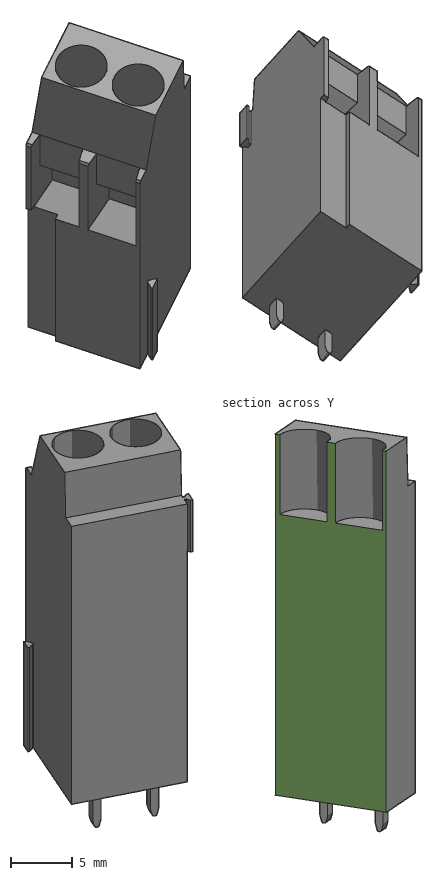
import cadquery as cq

WIDTH = 10.05
DEPTH = 10.95
PIN_LENGTH = 3.2
HEIGHT = 34.3 - PIN_LENGTH

FOOT_DROP = 5.0
FOOT_Y = 1.35
SLOPE_TOP_Y = 3.4
FRONT_BEVEL = 0.17
SHELF_DROP = 4.25
SHELF_DEPTH = 1.37
REAR_LEAN = 0.25
FOOT_Z = HEIGHT - FOOT_DROP
SHELF_Z = HEIGHT - SHELF_DROP

PITCH = 5.0
FIRST_POLE_X = 2.57
POLE_XS = [FIRST_POLE_X + i * PITCH for i in range(2)]

WELL_DIAMETER = 4.22
WELL_Y = 5.65
WELL_DEPTH = 6.85

POCKET_WIDTH = 4.22
POCKET_FLOOR_Z = 17.05
POCKET_DEPTH = 3.22
POCKET_INSET = 0.55
LIP_Z = 21.85
FLOOR_RISE = 0.48
LIP_FALL = 0.38
TAPER = POCKET_INSET / POCKET_DEPTH

STEP_WIDTH = 2.6
STEP_DEPTH = 0.45
STEP_HEIGHT = 17.15

RAIL_REACH = 0.62
RAIL_WIDTH = 1.0
LEFT_RAIL_Y = DEPTH - 0.93
LEFT_RAIL_LENGTH = 5.0
LEFT_RAIL_NECK = 0.4
LEFT_RAIL_NECK_REACH = 0.17
LEFT_RAIL_RIM = 0.2
RIGHT_RAIL_Y = 1.7
RIGHT_RAIL_LENGTH = 10.05
RIGHT_RAIL_NECK = 0.27
RIGHT_RAIL_NECK_REACH = 0.07
RIGHT_RAIL_RIM = 0.15

PIN_WIDTH = 0.72
PIN_THICKNESS = 0.93
PIN_Y = DEPTH - 1.2
PIN_TIP_LENGTH = 0.7
PIN_TIP_WIDTH = 0.4
PIN_NOSE_HEIGHT = 0.15


def make_block():
    """Side profile extruded across the full width."""
    profile = [
        (0, 0),
        (0, FOOT_Z - FRONT_BEVEL),
        (FRONT_BEVEL, FOOT_Z),
        (FOOT_Y, FOOT_Z),
        (SLOPE_TOP_Y, HEIGHT),
        (DEPTH - SHELF_DEPTH - REAR_LEAN, HEIGHT),
        (DEPTH - SHELF_DEPTH, SHELF_Z),
        (DEPTH, SHELF_Z),
        (DEPTH, 0),
    ]
    return cq.Workplane("YZ").polyline(profile).close().extrude(WIDTH)


def pocket_section(x, y, top_z):
    """Rectangular wire of the tapering pocket at depth y behind the front face."""
    inset = TAPER * y
    half_width = POCKET_WIDTH / 2 - inset
    floor_z = POCKET_FLOOR_Z + FLOOR_RISE * y / POCKET_DEPTH
    return cq.Wire.makePolygon(
        [
            cq.Vector(x - half_width, y, floor_z),
            cq.Vector(x + half_width, y, floor_z),
            cq.Vector(x + half_width, y, top_z),
            cq.Vector(x - half_width, y, top_z),
        ],
        close=True,
    )


def make_pocket(x):
    """Open-topped front part and a deeper part below the lip, as two cutters."""
    deep_top_z = LIP_Z - LIP_FALL
    front = cq.Solid.makeLoft(
        [pocket_section(x, 0, FOOT_Z), pocket_section(x, FOOT_Y, FOOT_Z)], True
    )
    deep = cq.Solid.makeLoft(
        [pocket_section(x, FOOT_Y, LIP_Z), pocket_section(x, POCKET_DEPTH, deep_top_z)], True
    )
    return front, deep


def make_rail(side_x, outward, y, neck, neck_reach, rim, bottom_z, length):
    """Dovetail rail on a side face; outward is -1 for the left side, +1 for the right."""
    half_profile = [
        (0, neck / 2),
        (neck_reach, neck / 2),
        (RAIL_REACH - rim, RAIL_WIDTH / 2),
        (RAIL_REACH, RAIL_WIDTH / 2),
    ]
    profile = half_profile + [(reach, -half) for reach, half in reversed(half_profile)]
    points = [(side_x + outward * reach, y + offset) for reach, offset in profile]
    return cq.Workplane("XY").workplane(offset=bottom_z).polyline(points).close().extrude(length)


def make_housing():
    housing = make_block()
    for x in POLE_XS:
        well = (
            cq.Workplane("XY")
            .workplane(offset=HEIGHT - WELL_DEPTH)
            .center(x, WELL_Y)
            .circle(WELL_DIAMETER / 2)
            .extrude(WELL_DEPTH)
        )
        housing = housing.cut(well)
        for cutter in make_pocket(x):
            housing = housing.cut(cq.Workplane(cutter))
    step = cq.Workplane("XY").box(STEP_WIDTH, STEP_DEPTH, STEP_HEIGHT, centered=False)
    left_rail = make_rail(
        0, -1, LEFT_RAIL_Y, LEFT_RAIL_NECK, LEFT_RAIL_NECK_REACH, LEFT_RAIL_RIM,
        SHELF_Z - LEFT_RAIL_LENGTH, LEFT_RAIL_LENGTH,
    )
    right_rail = make_rail(
        WIDTH, 1, RIGHT_RAIL_Y, RIGHT_RAIL_NECK, RIGHT_RAIL_NECK_REACH, RIGHT_RAIL_RIM,
        0, RIGHT_RAIL_LENGTH,
    )
    return housing.cut(step).union(left_rail).union(right_rail)


def make_pin(x):
    """Flat pin hanging from the underside, narrowing to a rounded nose."""
    taper_z = PIN_TIP_LENGTH - PIN_LENGTH
    nose_z = PIN_NOSE_HEIGHT - PIN_LENGTH
    return (
        cq.Workplane("XZ", origin=(x, PIN_Y, 0))
        .moveTo(-PIN_WIDTH / 2, 0)
        .lineTo(PIN_WIDTH / 2, 0)
        .lineTo(PIN_WIDTH / 2, taper_z)
        .lineTo(PIN_TIP_WIDTH / 2, nose_z)
        .threePointArc((0, -PIN_LENGTH), (-PIN_TIP_WIDTH / 2, nose_z))
        .lineTo(-PIN_WIDTH / 2, taper_z)
        .close()
        .extrude(PIN_THICKNESS / 2, both=True)
    )


housing = make_housing()
pins = [make_pin(x) for x in POLE_XS]

result = cq.Compound.makeCompound([housing.val(), *[pin.val() for pin in pins]])